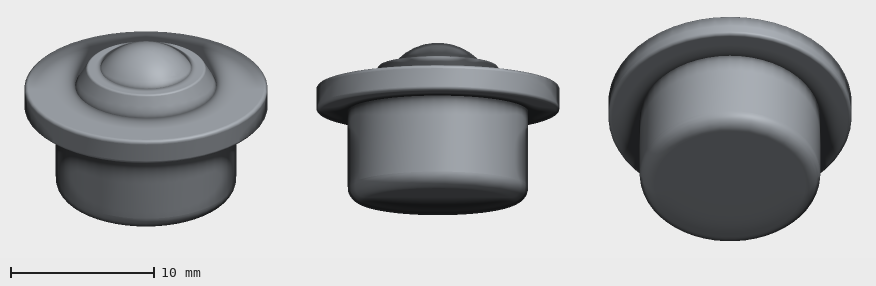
import cadquery as cq
import math

flange_radius = 8.5
flange_thickness = 1.8
flange_edge_radius = 0.25
body_radius = 6.3
body_height = 6.4
body_bottom_radius = 1.0

collar_base_radius = 4.95
collar_height = 1.41
collar_slope = 60.0
collar_edge_radius = 0.2

ball_radius = 4.0
total_height = 11.2

flange_top = body_height + flange_thickness
collar_top_radius = collar_base_radius - collar_height / math.tan(math.radians(collar_slope))


def make_body():
    body = cq.Workplane("XY").circle(body_radius).extrude(body_height)
    return body.faces("<Z").edges().fillet(body_bottom_radius)


def make_flange():
    flange = cq.Workplane("XY").workplane(offset=body_height).circle(flange_radius)
    return flange.extrude(flange_thickness).edges().fillet(flange_edge_radius)


def make_collar():
    collar = (
        cq.Workplane("XY")
        .workplane(offset=flange_top)
        .circle(collar_base_radius)
        .workplane(offset=collar_height)
        .circle(collar_top_radius)
        .loft(ruled=True)
    )
    return collar.faces(">Z").edges().fillet(collar_edge_radius)


def make_ball():
    ball_center_height = total_height - ball_radius
    return cq.Workplane("XY").sphere(ball_radius).translate((0, 0, ball_center_height))


result = make_body().union(make_flange()).union(make_collar()).union(make_ball())